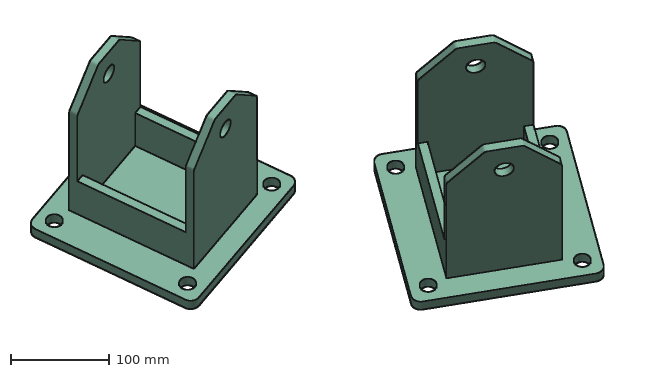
import cadquery as cq

base_side = 200.0
base_thickness = 13.0
base_corner_radius = 10.0
bolt_hole_diameter = 17.5
bolt_spacing = 160.0

bracket_width = 150.0
bracket_depth = 120.0
wall_thickness = 10.0
lug_height = 190.0
cross_wall_height = 50.0
lug_chamfer = 40.0
lug_corner_radius = 5.0

pin_hole_diameter = 20.0
pin_hole_height = 157.0


def make_base():
    """Square plate with rounded corners and four bolt holes, bottom face at Z = 0."""
    return (
        cq.Workplane("XY")
        .rect(base_side, base_side)
        .extrude(base_thickness)
        .edges("|Z")
        .fillet(base_corner_radius)
        .faces(">Z")
        .workplane()
        .rect(bolt_spacing, bolt_spacing, forConstruction=True)
        .vertices()
        .hole(bolt_hole_diameter)
    )


def make_lug(start_x):
    """Upright plate with bevelled top corners, growing along +X from start_x."""
    half_depth = bracket_depth / 2
    half_top = half_depth - lug_chamfer
    top_z = base_thickness + lug_height
    shoulder_z = top_z - lug_chamfer
    lug = (
        cq.Workplane("YZ", origin=(start_x, 0, 0))
        .moveTo(-half_depth, base_thickness)
        .lineTo(half_depth, base_thickness)
        .lineTo(half_depth, shoulder_z)
        .lineTo(half_top, top_z)
        .lineTo(-half_top, top_z)
        .lineTo(-half_depth, shoulder_z)
        .close()
        .extrude(wall_thickness)
    )
    lug = lug.edges("|X").edges("not <Z").fillet(lug_corner_radius)
    pin_hole = (
        cq.Workplane("YZ", origin=(start_x, 0, base_thickness + pin_hole_height))
        .circle(pin_hole_diameter / 2)
        .extrude(wall_thickness)
    )
    return lug.cut(pin_hole)


def make_cross_wall(center_y):
    """Low wall joining the two lugs."""
    return cq.Workplane("XY", origin=(0, center_y, base_thickness)).box(
        bracket_width - 2 * wall_thickness,
        wall_thickness,
        cross_wall_height,
        centered=(True, True, False),
    )


result = make_base()
for lug_start_x in (-bracket_width / 2, bracket_width / 2 - wall_thickness):
    result = result.union(make_lug(lug_start_x))
for side in (-1, 1):
    result = result.union(make_cross_wall(side * (bracket_depth - wall_thickness) / 2))